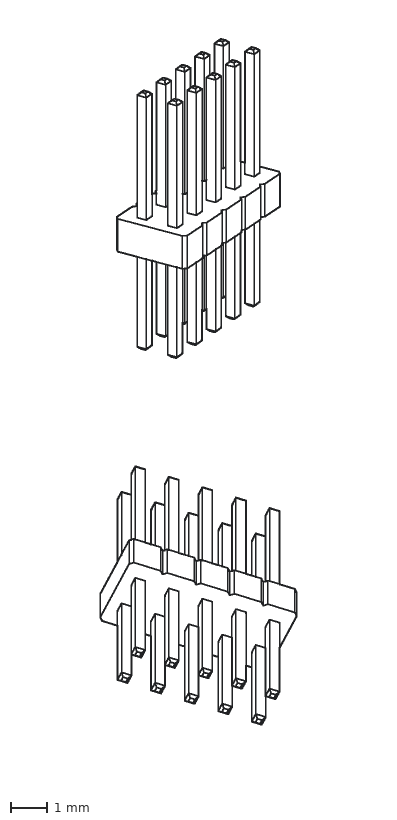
import cadquery as cq

pitch = 1.0
columns = 2
rows = 5

body_width = 2.3
body_length = rows * pitch
body_height = 1.0
corner_cut = 0.1

pin_width = 0.3
pin_below = 3.0
pin_above = 3.8
pin_length = pin_below + body_height + pin_above
tip_chamfer = 0.08


def centred_positions(count):
    """Positions of evenly pitched items, centred on zero."""
    return [(i - (count - 1) / 2) * pitch for i in range(count)]


def make_body():
    """Block with cut corners and a V groove on each side between rows."""
    body = (
        cq.Workplane("XY")
        .box(body_width, body_length, body_height, centered=(True, True, False))
        .edges("|Z")
        .chamfer(corner_cut)
    )
    half_width = body_width / 2
    for y in centred_positions(rows - 1):
        for side in (-1, 1):
            groove = (
                cq.Workplane("XY")
                .moveTo(side * half_width, y - corner_cut)
                .lineTo(side * (half_width - corner_cut), y)
                .lineTo(side * half_width, y + corner_cut)
                .close()
                .extrude(body_height)
            )
            body = body.cut(groove)
    return body


def make_pin(x, y):
    """Square pin with both ends tapered."""
    return (
        cq.Workplane("XY", origin=(x, y, -pin_below))
        .rect(pin_width, pin_width)
        .extrude(pin_length)
        .faces("<Z or >Z")
        .chamfer(tip_chamfer)
    )


result = make_body()
for x in centred_positions(columns):
    for y in centred_positions(rows):
        result = result.union(make_pin(x, y))